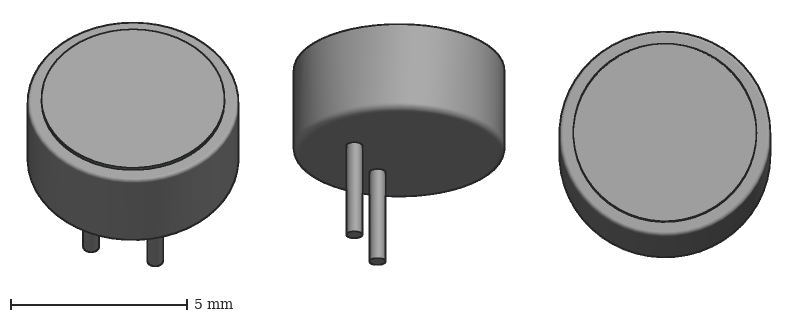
import cadquery as cq

can_diameter = 6.0
can_height = 2.7
top_edge_radius = 0.1
bottom_edge_radius = 0.2

disc_diameter = 5.2
disc_height = 0.1

pin_diameter = 0.46
pin_length = 2.795
pin_spacing = 1.895
pin_offset_y = -1.0


def make_can():
    can = cq.Workplane("XY").circle(can_diameter / 2).extrude(can_height)
    can = can.faces(">Z").edges().fillet(top_edge_radius)
    return can.faces("<Z").edges().fillet(bottom_edge_radius)


def make_disc():
    return cq.Workplane("XY", origin=(0, 0, can_height)).circle(disc_diameter / 2).extrude(disc_height)


def make_pins():
    centers = [(side * pin_spacing / 2, pin_offset_y) for side in (-1, 1)]
    return cq.Workplane("XY").pushPoints(centers).circle(pin_diameter / 2).extrude(-pin_length)


result = make_can().union(make_disc()).union(make_pins())